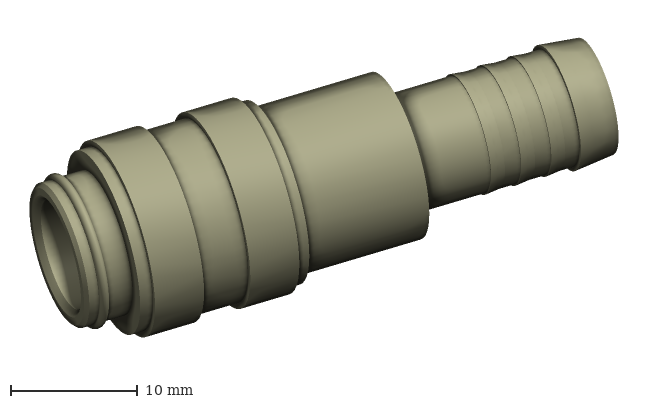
import cadquery as cq

LENGTH = 46.0

NECK_RADIUS = 6.0
NECK_END = 4.0
NECK_EDGE_CHAMFER = 0.3
BEAD_CENTER = 1.55
BEAD_SECTION_RADIUS = 0.4

BODY_RADIUS = 7.6
BODY_END = 18.45
BAND_RADIUS = 8.1
BAND_WIDTH = 4.2
BAND_INSET = 1.05
BAND_STARTS = (NECK_END + BAND_INSET, BODY_END - BAND_INSET - BAND_WIDTH)

SLEEVE_RADIUS = 6.9
SLEEVE_END = 29.0
TAIL_RADIUS = 4.85
END_BARB_RADIUS = 5.2
END_BARB_LENGTH = 3.35
RING_RADIUS = 4.95
RING_LENGTH = 1.25
RING_COUNT = 3
RING_PITCH = 2.58
FIRST_RING_START = 35.05

BORE_RADIUS = 3.5
SOCKET_RADIUS = 4.5
SOCKET_DEPTH = BODY_END
SOCKET_MOUTH_RADIUS = 5.0
SOCKET_CHAMFER = SOCKET_MOUTH_RADIUS - SOCKET_RADIUS


def cone(start, end, start_radius, end_radius):
    """Solid cone or cylinder about Y, between two stations."""
    profile = [(0, start), (start_radius, start), (end_radius, end), (0, end)]
    return cq.Workplane("XY").polyline(profile).close().revolve(360, (0, 0), (0, 1))


def cylinder(start, end, radius):
    return cone(start, end, radius, radius)


neck = cylinder(0, NECK_END, NECK_RADIUS).faces("<Y").chamfer(NECK_EDGE_CHAMFER)
body = cylinder(NECK_END, BODY_END, BODY_RADIUS)
sleeve = cylinder(BODY_END, SLEEVE_END, SLEEVE_RADIUS)
tail = cylinder(SLEEVE_END, LENGTH, TAIL_RADIUS)
coupling = neck.union(body).union(sleeve).union(tail)

bead = (
    cq.Workplane("XY")
    .center(NECK_RADIUS, BEAD_CENTER)
    .circle(BEAD_SECTION_RADIUS)
    .revolve(360, (-NECK_RADIUS, 0), (-NECK_RADIUS, 1))
)
coupling = coupling.union(bead)

for start in BAND_STARTS:
    coupling = coupling.union(cylinder(start, start + BAND_WIDTH, BAND_RADIUS))

coupling = coupling.union(cone(LENGTH - END_BARB_LENGTH, LENGTH, END_BARB_RADIUS, TAIL_RADIUS))
for index in range(RING_COUNT):
    start = FIRST_RING_START + index * RING_PITCH
    coupling = coupling.union(cone(start, start + RING_LENGTH, RING_RADIUS, TAIL_RADIUS))

bore = cylinder(0, LENGTH, BORE_RADIUS)
socket = cylinder(0, SOCKET_DEPTH, SOCKET_RADIUS)
mouth = cone(0, SOCKET_CHAMFER, SOCKET_MOUTH_RADIUS, SOCKET_RADIUS)
result = coupling.cut(bore).cut(socket).cut(mouth)